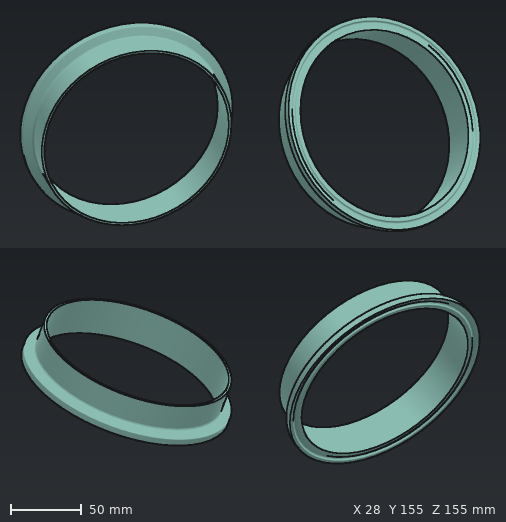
import cadquery as cq
import math

length = 28.0
flange_radius = 77.5
tube_radius = 139.7 / 2
bore_radius = 135.6 / 2

rim_width = 4.6
rim_fillet = 1.0
cone_angle = math.radians(20)
neck_fillet = 2.0

groove_center_radius = 73.0
groove_half_width = 2.0
groove_arc_radius = 1.5
lip_radius = 0.7


def ring_body():
    """Flange, cone and tube revolved as one section, with both cone ends rounded."""
    tangent_ratio = math.tan((math.pi / 2 - cone_angle) / 2)
    cone_start = rim_width + rim_fillet * tangent_ratio
    cone_end = cone_start + (flange_radius - tube_radius) * math.tan(cone_angle)
    section = [
        (0, bore_radius),
        (0, flange_radius),
        (cone_start, flange_radius),
        (cone_end, tube_radius),
        (length, tube_radius),
        (length, bore_radius),
    ]
    body = cq.Workplane("XY").polyline(section).close().revolve(360, (0, 0, 0), (1, 0, 0))
    rim_edge = cq.selectors.RadiusNthSelector(-1)
    body = body.faces("%CONE").edges(rim_edge).fillet(rim_fillet)
    neck_edge = cq.selectors.RadiusNthSelector(0)
    return body.faces("%CONE").edges(neck_edge).fillet(neck_fillet)


def gasket_groove():
    """Ring-shaped cutter whose lip arcs are tangent to the face and to the groove bottom."""
    center_distance = groove_arc_radius + lip_radius
    tilt = math.asin(groove_half_width / center_distance)
    arc_center_x = lip_radius - center_distance * math.cos(tilt)
    join_x = arc_center_x + groove_arc_radius * math.cos(tilt)
    join_offset = groove_arc_radius * math.sin(tilt)
    bottom_x = arc_center_x + groove_arc_radius

    lip_mid_x = lip_radius * (1 - math.cos(tilt / 2))
    lip_mid_offset = groove_half_width - lip_radius * math.sin(tilt / 2)

    inner = groove_center_radius - groove_half_width
    outer = groove_center_radius + groove_half_width
    return (
        cq.Workplane("XY")
        .moveTo(0, inner)
        .threePointArc(
            (lip_mid_x, groove_center_radius - lip_mid_offset),
            (join_x, groove_center_radius - join_offset),
        )
        .threePointArc(
            (bottom_x, groove_center_radius),
            (join_x, groove_center_radius + join_offset),
        )
        .threePointArc(
            (lip_mid_x, groove_center_radius + lip_mid_offset),
            (0, outer),
        )
        .close()
        .revolve(360, (0, 0, 0), (1, 0, 0))
    )


result = ring_body().cut(gasket_groove())